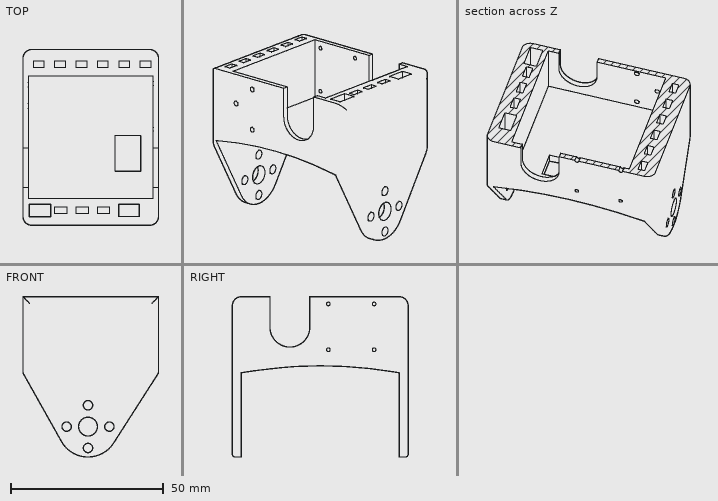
import cadquery as cq
import math

WIDTH = 44.5
LENGTH = 57.7
PLATE = 3.0
PIVOT_RADIUS = 10.0
TOP = 42.6
SHOULDER = 17.6
PIVOT_OFFSET = 0.9
TIP_FILLET = 1.0

LEFT = PIVOT_OFFSET - WIDTH / 2
RIGHT = PIVOT_OFFSET + WIDTH / 2
FRONT = -LENGTH / 2
BACK = LENGTH / 2
HEIGHT = TOP + PIVOT_RADIUS
INNER_SPAN = LENGTH - 2 * PLATE

ARCH_RISE = 2.3

SIDE_WALL = 1.8
END_WALL = 8.8
BOX_DEPTH = 20.0
FLOOR = TOP - BOX_DEPTH

NOTCH_WIDTH = 13.0
NOTCH_DEPTH = 16.5
NOTCH_Y = FRONT + 18.9

WINDOW_X = 8.4
WINDOW_Y = 11.6
WINDOW_LEFT = LEFT + 30.2
WINDOW_FRONT = FRONT + 17.8

POCKET_PITCH = 7.0
POCKET_START = LEFT + 3.45
POCKET_Y = 2.1
BACK_POCKET_X = 3.5
BACK_POCKET_FRONT = BACK - 5.9
FRONT_POCKET_X = 4.0
FRONT_POCKET_FRONT = FRONT + 3.9
FRONT_POCKET_SLOTS = range(1, 4)
BACK_POCKET_SLOTS = range(6)

SHAFT_BACK = FRONT + 6.9
LEFT_SHAFT_X = 7.0
LEFT_SHAFT_LEFT = LEFT + 2.1
LEFT_SHAFT_FRONT = FRONT + 2.75
RIGHT_SHAFT_X = 6.6
RIGHT_SHAFT_LEFT = LEFT + 31.5
RIGHT_SHAFT_FRONT = FRONT + 2.95

PIVOT_HOLE = 6.1
SCREW_HOLE = 3.0
SCREW_CIRCLE = 7.0
SCREW_COUNT = 4

LEFT_WALL_HOLE = 1.6
LEFT_WALL_PLACES = [(18.6, 3.6), (18.6, 17.6), (11.6, 10.1)]
RIGHT_WALL_HOLE = 1.2
RIGHT_WALL_SPACING = 15.0
RIGHT_WALL_ROWS = 2
RIGHT_WALL_COLUMNS = 2
RIGHT_WALL_FIRST = (END_WALL + 2.4, 2.4)


def tangent_point(corner_x):
    """Point where the line from a shoulder corner meets the rounded tip."""
    distance = math.hypot(corner_x, SHOULDER)
    side = math.copysign(1, corner_x)
    angle = math.atan2(SHOULDER, corner_x) - side * math.acos(PIVOT_RADIUS / distance)
    return (PIVOT_RADIUS * math.cos(angle), PIVOT_RADIUS * math.sin(angle))


def box(left, front, bottom, size_x, size_y, size_z):
    """Box placed by its lowest corner."""
    return cq.Workplane("XY").box(size_x, size_y, size_z, centered=False).translate((left, front, bottom))


def rounded_block():
    """Full-height block with its end faces rounded along the sides and the top."""
    block = box(LEFT, FRONT, -PIVOT_RADIUS, WIDTH, LENGTH, HEIGHT)
    return block.edges("|Z or (|X and >Z)").fillet(PLATE)


def end_profile():
    """Outline of the end plates, extruded over the whole length."""
    return (
        cq.Workplane("XZ", origin=(0, BACK, 0))
        .moveTo(LEFT, TOP)
        .lineTo(LEFT, SHOULDER)
        .lineTo(*tangent_point(LEFT))
        .threePointArc((0, -PIVOT_RADIUS), tangent_point(RIGHT))
        .lineTo(RIGHT, SHOULDER)
        .lineTo(RIGHT, TOP)
        .close()
        .extrude(LENGTH)
    )


def round_tips(body):
    """Small rounding along the sloping sides and the tip of each end face."""
    tip = cq.selectors.BoxSelector(
        (LEFT, FRONT - PLATE, -2 * PIVOT_RADIUS),
        (RIGHT, BACK + PLATE, SHOULDER - PLATE),
    )
    return body.faces("<Y or >Y").edges(tip).fillet(TIP_FILLET)


def underside():
    """Space between the end plates, arched at the top."""
    half = INNER_SPAN / 2
    return (
        cq.Workplane("YZ", origin=(LEFT, 0, 0))
        .moveTo(-half, -PIVOT_RADIUS)
        .lineTo(-half, SHOULDER)
        .threePointArc((0, SHOULDER + ARCH_RISE), (half, SHOULDER))
        .lineTo(half, -PIVOT_RADIUS)
        .close()
        .extrude(WIDTH)
    )


def cavity():
    """Inside of the open box."""
    inner_x = WIDTH - 2 * SIDE_WALL
    inner_y = LENGTH - 2 * END_WALL
    return box(LEFT + SIDE_WALL, FRONT + END_WALL, FLOOR, inner_x, inner_y, BOX_DEPTH)


def notch():
    """U-shaped notch across both side walls."""
    radius = NOTCH_WIDTH / 2
    straight = NOTCH_DEPTH - radius
    slot = box(LEFT, NOTCH_Y - radius, TOP - straight, WIDTH, NOTCH_WIDTH, straight)
    round_end = cq.Workplane("YZ", origin=(LEFT, NOTCH_Y, TOP - straight)).circle(radius).extrude(WIDTH)
    return slot.union(round_end)


def window():
    """Rectangular opening through the floor."""
    return box(WINDOW_LEFT, WINDOW_FRONT, SHOULDER, WINDOW_X, WINDOW_Y, FLOOR - SHOULDER)


def cut_pockets(body, slots, size_x, front):
    """Row of pockets as deep as the box."""
    for slot in slots:
        left = POCKET_START + slot * POCKET_PITCH
        body = body.cut(box(left, front, FLOOR, size_x, POCKET_Y, BOX_DEPTH))
    return body


def shaft(left, front, size_x):
    """Shaft open at the top and at the underside of the front end wall."""
    return box(left, front, SHOULDER, size_x, SHAFT_BACK - front, TOP - SHOULDER)


def pivot_holes():
    """Pivot hole and its ring of screw holes, through both end plates."""
    plane = cq.Workplane("XZ", origin=(0, BACK, 0))
    pivot = plane.circle(PIVOT_HOLE / 2).extrude(LENGTH)
    screws = (
        plane.polarArray(SCREW_CIRCLE, 0, 360, SCREW_COUNT)
        .circle(SCREW_HOLE / 2)
        .extrude(LENGTH)
    )
    return pivot.union(screws)


def wall_holes(wall_left, places, diameter):
    """Holes through one side wall."""
    points = [(BACK - inset, TOP - depth) for inset, depth in places]
    plane = cq.Workplane("YZ", origin=(wall_left, 0, 0))
    return plane.pushPoints(points).circle(diameter / 2).extrude(SIDE_WALL)


first_inset, first_depth = RIGHT_WALL_FIRST
right_wall_places = [
    (first_inset + column * RIGHT_WALL_SPACING, first_depth + row * RIGHT_WALL_SPACING)
    for column in range(RIGHT_WALL_COLUMNS)
    for row in range(RIGHT_WALL_ROWS)
]

result = round_tips(rounded_block().intersect(end_profile()))
result = result.cut(underside())
result = result.cut(cavity())
result = result.cut(notch())
result = result.cut(window())
result = cut_pockets(result, BACK_POCKET_SLOTS, BACK_POCKET_X, BACK_POCKET_FRONT)
result = cut_pockets(result, FRONT_POCKET_SLOTS, FRONT_POCKET_X, FRONT_POCKET_FRONT)
result = result.cut(shaft(LEFT_SHAFT_LEFT, LEFT_SHAFT_FRONT, LEFT_SHAFT_X))
result = result.cut(shaft(RIGHT_SHAFT_LEFT, RIGHT_SHAFT_FRONT, RIGHT_SHAFT_X))
result = result.cut(pivot_holes())
result = result.cut(wall_holes(LEFT, LEFT_WALL_PLACES, LEFT_WALL_HOLE))
result = result.cut(wall_holes(RIGHT - SIDE_WALL, right_wall_places, RIGHT_WALL_HOLE))